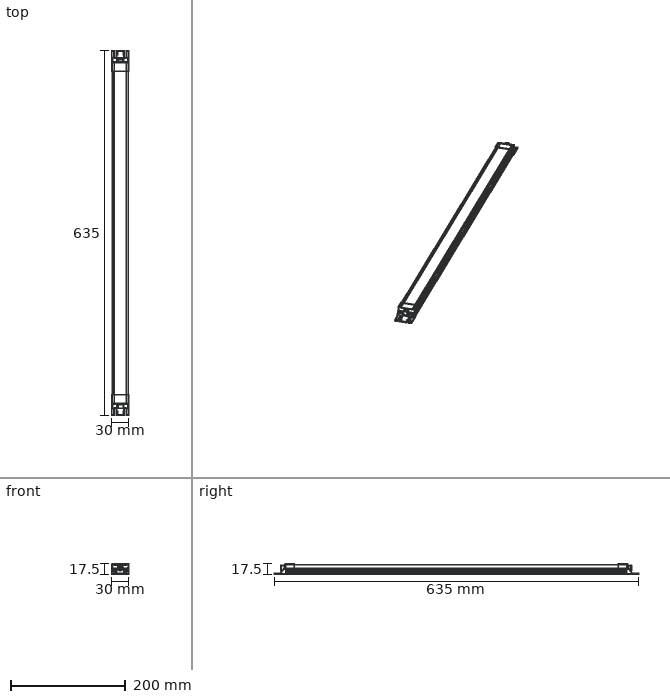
import cadquery as cq

LENGTH = 635.0
WIDTH = 30.0
HEIGHT = 17.5

CAP_SHELL = 1.0
CAP_TOP_EDGE_RADIUS = 1.0
CAP_CORNER_RADIUS = 1.5
CAP_INNER_Y = 282.0
CAP_WALL_OUTER_Y = 298.5
CAP_WALL = 1.5
CAP_SIDE_BEND_Z = 10.0
CHEEK_THICKNESS = 2.0
CHEEK_TOP_Z = 10.75

SHELF_Z = 5.5
SHELF_END_Y = 305.0
CHANNEL_WIDTH = 11.8
FOOT_THICKNESS = 1.5
FOOT_END_Y = LENGTH / 2
SHELF_FOOT_RADIUS = 2.0
SLOT_WIDTH = 3.8
SLOT_X = 8.7
TONGUE_RABBET_LENGTH = 7.2
TONGUE_RABBET_WIDTH = 2.0
TONGUE_RABBET_DEPTH = 0.5

CONNECTOR_Z = 10.7
CONNECTOR_RADIUS = 4.7
CONNECTOR_END_Y = 305.5
SOCKET_BORE_RADIUS = 3.6
SOCKET_BORE_DEPTH = 6.0
SOCKET_CORE_RADIUS = 2.0
PLUG_RADIUS = 4.0
PLUG_COLLAR_LENGTH = 1.0
PLUG_RING_LENGTH = 2.5
PLUG_RING_CHAMFER = 1.0

HOUSING_WIDTH = WIDTH - 2 * CAP_SHELL
HOUSING_HEIGHT = HEIGHT - CAP_SHELL
HOUSING_END_Y = CAP_WALL_OUTER_Y - CAP_WALL
LENS_WIDTH = 21.0
LENS_THICKNESS = 1.0
FIN_ROOT_X = 6.5
GROOVE_COUNT = 4
GROOVE_HEIGHT = 1.2
FIN_PITCH = 2.4
FIRST_GROOVE_Z = 1.2


def block(x_min, x_max, y_min, y_max, z_min, z_max):
    """Box between two opposite corners."""
    size = (x_max - x_min, y_max - y_min, z_max - z_min)
    return cq.Workplane("XY").box(*size, centered=False).translate((x_min, y_min, z_min))


def symmetric_block(width, y_min, y_max, z_min, z_max):
    """Box centred on X = 0."""
    return block(-width / 2, width / 2, y_min, y_max, z_min, z_max)


def rod(radius, y_min, y_max):
    """Cylinder along Y on the connector axis."""
    base = cq.Workplane("XZ", origin=(0, y_min, CONNECTOR_Z))
    return base.circle(radius).extrude(-(y_max - y_min))


def extruded_side(points, x_min, x_max):
    """Outline in the YZ plane, extruded between two X positions."""
    return cq.Workplane("YZ", origin=(x_min, 0, 0)).polyline(points).close().extrude(x_max - x_min)


def make_lens():
    """Flat cover strip, flush with the top of the housing."""
    return symmetric_block(
        LENS_WIDTH, -HOUSING_END_Y, HOUSING_END_Y, HOUSING_HEIGHT - LENS_THICKNESS, HOUSING_HEIGHT
    )


def make_housing():
    """Bar with cooling grooves low on both sides and a seat for the lens."""
    housing = symmetric_block(HOUSING_WIDTH, -HOUSING_END_Y, HOUSING_END_Y, 0, HOUSING_HEIGHT)
    for index in range(GROOVE_COUNT):
        z = FIRST_GROOVE_Z + index * FIN_PITCH
        groove = block(
            FIN_ROOT_X, HOUSING_WIDTH / 2, -HOUSING_END_Y, HOUSING_END_Y, z, z + GROOVE_HEIGHT
        )
        housing = housing.cut(groove).cut(groove.mirror("YZ"))
    return housing.cut(make_lens())


def cap_hood():
    """Hood over the housing, with rounded outer edges and an end wall."""
    outline = [
        (CAP_INNER_Y, HEIGHT),
        (CAP_INNER_Y, CAP_SIDE_BEND_Z),
        (CAP_INNER_Y + CAP_SIDE_BEND_Z, 0),
        (CAP_WALL_OUTER_Y, 0),
        (CAP_WALL_OUTER_Y, HEIGHT),
    ]
    hood = extruded_side(outline, -WIDTH / 2, WIDTH / 2)
    hood = hood.faces(">Y").edges("|Z").fillet(CAP_CORNER_RADIUS)
    hood = hood.faces(">Z").edges("not <Y").fillet(CAP_TOP_EDGE_RADIUS)
    housing_space = symmetric_block(HOUSING_WIDTH, 0, HOUSING_END_Y, 0, HOUSING_HEIGHT)
    return hood.cut(housing_space)


def cap_cheeks():
    """Sloping cheeks that brace the end wall on both sides."""
    outline = [
        (HOUSING_END_Y, 0),
        (SHELF_END_Y, 0),
        (SHELF_END_Y, SHELF_Z),
        (CAP_WALL_OUTER_Y + CHEEK_TOP_Z - SHELF_Z, SHELF_Z),
        (CAP_WALL_OUTER_Y, CHEEK_TOP_Z),
        (HOUSING_END_Y, CHEEK_TOP_Z),
    ]
    cheek = extruded_side(outline, WIDTH / 2 - CHEEK_THICKNESS, WIDTH / 2)
    return cheek.union(cheek.mirror("YZ"))


def cap_foot():
    """Shelf outside the end wall, rounded down to a thin foot, with a channel through its middle."""
    round_top_z = FOOT_THICKNESS + SHELF_FOOT_RADIUS
    round_end_y = SHELF_END_Y + SHELF_FOOT_RADIUS
    foot = (
        cq.Workplane("YZ", origin=(-WIDTH / 2, 0, 0))
        .moveTo(HOUSING_END_Y, 0)
        .lineTo(FOOT_END_Y, 0)
        .lineTo(FOOT_END_Y, FOOT_THICKNESS)
        .lineTo(round_end_y, FOOT_THICKNESS)
        .radiusArc((SHELF_END_Y, round_top_z), SHELF_FOOT_RADIUS)
        .lineTo(SHELF_END_Y, SHELF_Z)
        .lineTo(HOUSING_END_Y, SHELF_Z)
        .close()
        .extrude(WIDTH)
    )
    channel = symmetric_block(CHANNEL_WIDTH, CAP_WALL_OUTER_Y, FOOT_END_Y, FOOT_THICKNESS, SHELF_Z)
    return foot.cut(channel)


def foot_slot():
    """Open-ended slot with a round bottom, on the +X side of the foot."""
    round_centre_y = SHELF_END_Y + SLOT_WIDTH / 2
    slot = block(
        SLOT_X - SLOT_WIDTH / 2, SLOT_X + SLOT_WIDTH / 2, round_centre_y, FOOT_END_Y, 0, HEIGHT
    )
    round_end = cq.Workplane("XY").center(SLOT_X, round_centre_y).circle(SLOT_WIDTH / 2).extrude(HEIGHT)
    return slot.union(round_end)


def tongue_rabbet():
    """Lowered strip along the +X edge of the foot's middle tongue."""
    edge_x = SLOT_X - SLOT_WIDTH / 2
    return block(
        edge_x - TONGUE_RABBET_WIDTH, edge_x, FOOT_END_Y - TONGUE_RABBET_LENGTH, FOOT_END_Y,
        FOOT_THICKNESS - TONGUE_RABBET_DEPTH, FOOT_THICKNESS,
    )


def make_cap():
    """End cap at +Y, without its connector."""
    cap = cap_hood().union(cap_cheeks()).union(cap_foot())
    for cutter in (foot_slot(), tongue_rabbet()):
        cap = cap.cut(cutter).cut(cutter.mirror("YZ"))
    return cap


def make_plug():
    """Slim connector through the end wall, with a collar against the wall and a chamfered ring at its end."""
    body = rod(PLUG_RADIUS, HOUSING_END_Y, CONNECTOR_END_Y)
    collar = rod(CONNECTOR_RADIUS, CAP_WALL_OUTER_Y, CAP_WALL_OUTER_Y + PLUG_COLLAR_LENGTH)
    ring = rod(CONNECTOR_RADIUS, CONNECTOR_END_Y - PLUG_RING_LENGTH, CONNECTOR_END_Y)
    ring = ring.faces(">Y").edges().chamfer(PLUG_RING_CHAMFER)
    return body.union(collar).union(ring)


def socket():
    """Plain connector, one piece with its cap, with a ring-shaped recess around its core."""
    recess_start_y = CONNECTOR_END_Y - SOCKET_BORE_DEPTH
    recess = rod(SOCKET_BORE_RADIUS, recess_start_y, CONNECTOR_END_Y)
    core = rod(SOCKET_CORE_RADIUS, recess_start_y, CONNECTOR_END_Y)
    return rod(CONNECTOR_RADIUS, HOUSING_END_Y, CONNECTOR_END_Y).cut(recess.cut(core))


housing = make_housing()
lens = make_lens()
plug = make_plug()
plug_hole = rod(PLUG_RADIUS, HOUSING_END_Y, CAP_WALL_OUTER_Y)
plug_cap = make_cap().cut(plug_hole)
socket_cap = make_cap().union(socket()).mirror("XZ")

result = cq.Compound.makeCompound(
    [housing.val(), lens.val(), plug_cap.val(), socket_cap.val(), plug.val()]
)